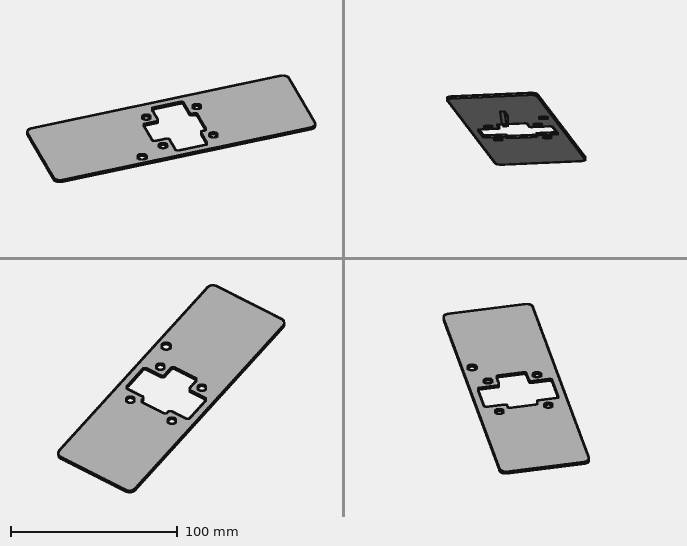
import cadquery as cq

plate_width = 54.8
plate_length = 166.0
plate_thickness = 1.5
plate_corner_radius = 4.0

wide_half_width = 22.7
wide_top = 15.3
wide_bottom = -4.8
narrow_half_width = 9.1
narrow_top = 19.3
narrow_bottom = -14.8
window_corner_radius = 1.5

mount_hole_diameter = 5.1
mount_spacing_x = 30.0
mount_spacing_y = 32.0
mount_center_y = 5.5
side_hole_diameter = 5.6
side_hole_position = (21.4, -26.0)

total_height = 7.6
rib_depth = total_height - plate_thickness
rib_thickness = 2.7
rib_back_y = -34.2
rib_foot_length = 6.0


def make_plate():
    plate = cq.Workplane("XY").box(
        plate_width, plate_length, plate_thickness, centered=(True, True, False)
    )
    return plate.edges("|Z").fillet(plate_corner_radius)


def make_opening(half_width, bottom, top):
    return (
        cq.Workplane("XY")
        .center(0, (top + bottom) / 2)
        .rect(2 * half_width, top - bottom)
        .extrude(plate_thickness)
    )


def make_window():
    wide = make_opening(wide_half_width, wide_bottom, wide_top)
    narrow = make_opening(narrow_half_width, narrow_bottom, narrow_top)
    return wide.union(narrow).edges("|Z").fillet(window_corner_radius)


def make_holes():
    mount_holes = (
        cq.Workplane("XY")
        .center(0, mount_center_y)
        .rect(mount_spacing_x, mount_spacing_y, forConstruction=True)
        .vertices()
        .circle(mount_hole_diameter / 2)
        .extrude(plate_thickness)
    )
    side_hole = (
        cq.Workplane("XY")
        .center(*side_hole_position)
        .circle(side_hole_diameter / 2)
        .extrude(plate_thickness)
    )
    return mount_holes.union(side_hole)


def make_rib():
    foot_end_y = rib_back_y - rib_foot_length
    profile = [
        (rib_back_y, 0),
        (rib_back_y, -rib_depth),
        (foot_end_y, -rib_depth),
        (foot_end_y - rib_depth, 0),
    ]
    return cq.Workplane("YZ").polyline(profile).close().extrude(rib_thickness / 2, both=True)


result = make_plate().cut(make_window()).cut(make_holes()).union(make_rib())